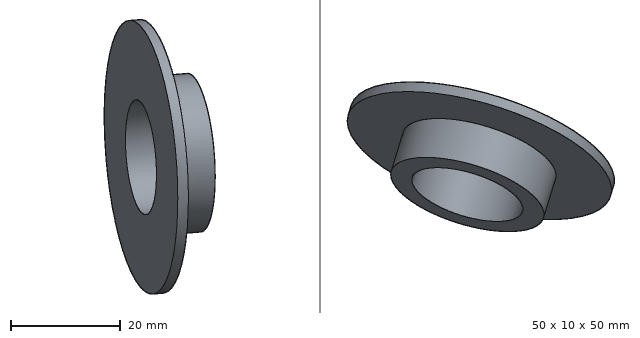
import cadquery as cq

flange_diameter = 50.0
flange_thickness = 2.0
hub_diameter = 29.0
bore_diameter = 21.0
total_length = 10.0

front_y = -total_length / 2


def cylinder_along_y(diameter, length):
    """Cylinder on the Y axis, running from the front face toward +Y."""
    front_plane = cq.Workplane("XZ", origin=(0, front_y, 0))
    return front_plane.circle(diameter / 2).extrude(-length)


flange = cylinder_along_y(flange_diameter, flange_thickness)
hub = cylinder_along_y(hub_diameter, total_length)
bore = cylinder_along_y(bore_diameter, total_length)

result = flange.union(hub).cut(bore)